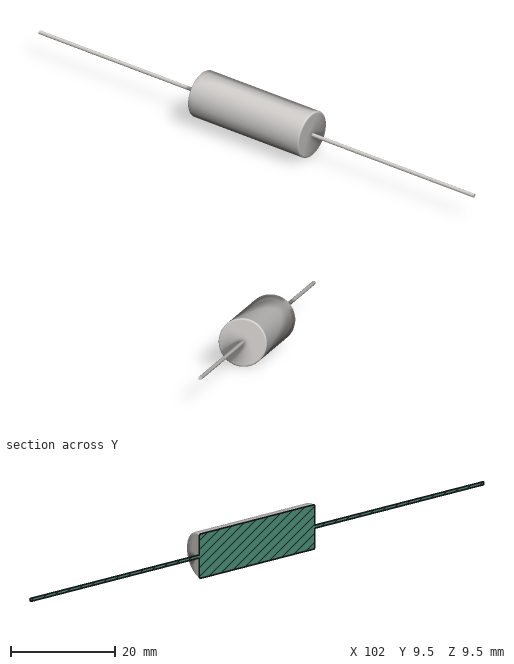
import cadquery as cq

overall_length = 102.0
body_length = 26.0
body_diameter = 9.5
rim_fillet = 0.35
lead_diameter = 0.75


def make_rod(diameter, length):
    """Round rod along X, centred on the origin."""
    start_plane = cq.Workplane("YZ", origin=(-length / 2, 0, 0))
    return start_plane.circle(diameter / 2).extrude(length)


def make_body():
    """Cylinder with rounded rims at both ends."""
    return make_rod(body_diameter, body_length).edges("%CIRCLE").fillet(rim_fillet)


result = make_body().union(make_rod(lead_diameter, overall_length))